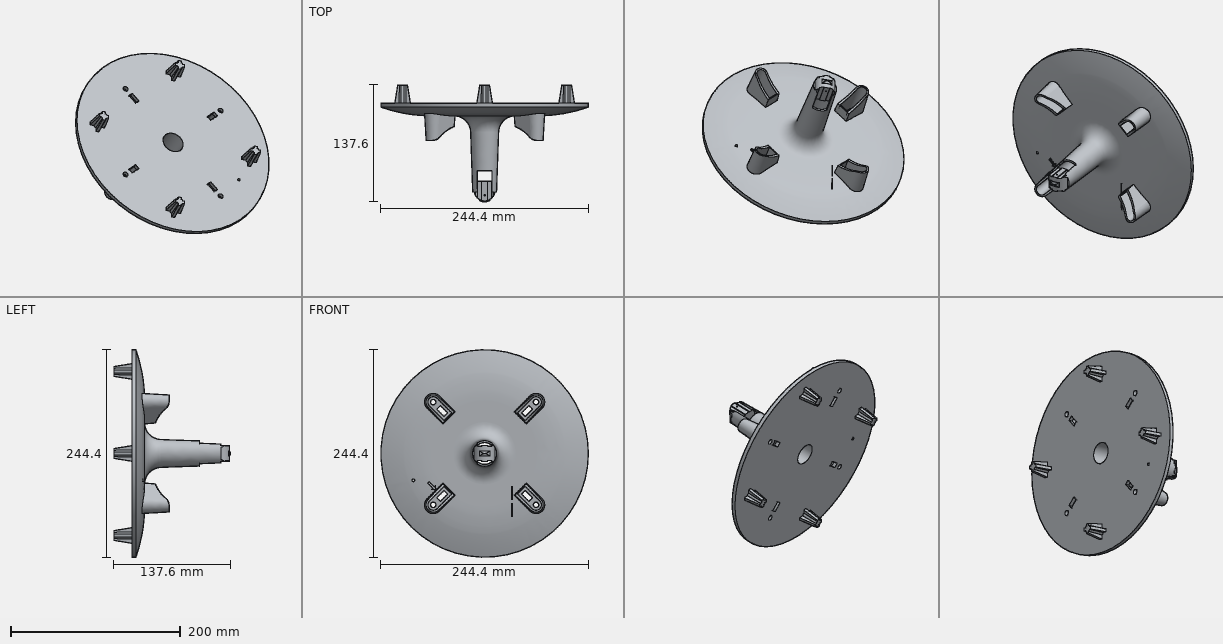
import cadquery as cq
import math


plate_radius = 122.2
rim_thickness = 5.0
face_radius = 62.3
plate_thickness = 15.2

flare_radius = 36.7
flare_end_y = -34.0
spindle_base_radius = 16.5
shoulder_y = -104.8
shoulder_radius = 14.2
nose_half_width = 12.2
nose_y = -115.0
tip_y = -116.3
ridge_width = 5.9
ridge_length = 12.2
bore_radius = 12.7

window_y = -79.7
tongue_y = -92.0
tongue_half_thickness = 8.5
rib_half_thickness = 9.5
rib_width = 7.0
window_inner_half_width = 8.3
window_outer_half_width = 9.3
window_outer_z = 16.0
dimple_y = -108.5
dimple_diameter = 1.2

bracket_count = 4
bracket_first_angle = 45.0
bracket_hole_radius = 85.5
bracket_base_radius = 10.8
bracket_base_start = 58.7
bracket_draft = 3.3
bracket_top_y = -44.2
bracket_low_y = -27.4
slope_start_direction = (1, -0.3)
slope_mid_x = 79.5
slope_mid_y = -37.0
slope_end_x = 94.3
bracket_reach = 110.0
pocket_floor_y = -rim_thickness
pocket_radius = 6.4
pocket_start = 61.0
screw_hole_diameter = 6.0
latch_hole_length = 12.0
latch_hole_width = 5.9
latch_hole_x = 70.6

peg_count = 4
peg_circle_radius = 96.5
peg_height = 21.3
peg_core_base_radius = 4.6
peg_core_top_radius = 4.2
fin_base_half_width = 9.3
fin_top_half_width = 5.9
fin_thickness = 3.7

pin_hole_x = -83.8
pin_hole_z = -31.5
pin_hole_diameter = 3.0
groove_x = 32.3
groove_width = 0.7
groove_length = 15.5
groove_centers_z = (-46.5, -66.7)
engraving_floor_y = -13.5
arrow_tip_x = -57.7
arrow_tip_z = -42.5
arrow_length = 12.0
arrow_head_length = 3.5
arrow_shaft_width = 2.5
arrow_angle = -45.0


def around_y(shape, count, first_angle):
    """Copies of a shape spaced evenly around the Y axis, joined."""
    joined = cq.Workplane("XY")
    for index in range(count):
        angle = first_angle + index * 360.0 / count
        joined = joined.add(shape.rotate((0, 0, 0), (0, 1, 0), angle).val())
    return joined.combine()


def facing_front(y):
    """Workplane at height y whose extrusions run toward -Y."""
    return cq.Workplane("XZ", origin=(0, y, 0))


def quarter_arc_point(start, end, corner):
    """Middle point of an elliptical quarter between start and end, bulging toward corner."""
    blend = 1 - math.sqrt(0.5)
    center = (start[0] + end[0] - corner[0], start[1] + end[1] - corner[1])
    return (corner[0] + blend * (center[0] - corner[0]), corner[1] + blend * (center[1] - corner[1]))


def plate_and_spindle():
    """Domed plate, flare and tapered spindle turned around Y."""
    dome_rise = plate_thickness - rim_thickness
    dome_width = plate_radius - face_radius
    dome_radius = (dome_width**2 + dome_rise**2) / (2 * dome_rise)
    dome_mid_y = -plate_thickness + dome_radius - math.sqrt(dome_radius**2 - (dome_width / 2) ** 2)
    flare_start = (flare_radius, -plate_thickness)
    flare_end = (spindle_base_radius, flare_end_y)
    flare_corner = (spindle_base_radius, -plate_thickness)
    profile = (
        cq.Workplane("XY")
        .lineTo(plate_radius, 0)
        .lineTo(plate_radius, -rim_thickness)
        .threePointArc((face_radius + dome_width / 2, dome_mid_y), (face_radius, -plate_thickness))
        .lineTo(*flare_start)
        .threePointArc(quarter_arc_point(flare_start, flare_end, flare_corner), flare_end)
        .lineTo(shoulder_radius, shoulder_y)
        .lineTo(0, shoulder_y)
        .close()
    )
    return profile.revolve(360, (0, 0, 0), (0, 1, 0))


def window(side):
    """Opening in the +Z or -Z side of the spindle, down to the tongue, with flared side walls."""
    outline = [
        (-window_inner_half_width, side * tongue_half_thickness),
        (window_inner_half_width, side * tongue_half_thickness),
        (window_outer_half_width, side * window_outer_z),
        (-window_outer_half_width, side * window_outer_z),
    ]
    return facing_front(window_y).polyline(outline).close().extrude(window_y - tip_y)


def rounded_end(end_y):
    """Bar along Z, from the tongue start to an end rounded toward -Y."""
    return (
        cq.Workplane("XY")
        .moveTo(-nose_half_width, tongue_y)
        .lineTo(-nose_half_width, shoulder_y)
        .threePointArc((0, end_y), (nose_half_width, shoulder_y))
        .lineTo(nose_half_width, tongue_y)
        .close()
        .extrude(rib_half_thickness, both=True)
    )


def nose():
    """Rounded end of the spindle with a low ridge across its middle."""
    envelope = facing_front(tongue_y).circle(shoulder_radius).extrude(tongue_y - tip_y)
    ridge = (
        cq.Workplane("YZ")
        .moveTo(shoulder_y, -ridge_width / 2)
        .lineTo(nose_y, -ridge_width / 2)
        .lineTo(tip_y, 0)
        .lineTo(nose_y, ridge_width / 2)
        .lineTo(shoulder_y, ridge_width / 2)
        .close()
        .extrude(ridge_length / 2, both=True)
        .intersect(rounded_end(tip_y))
    )
    return rounded_end(nose_y).intersect(envelope).union(ridge)


def tongue_rib():
    """Raised middle rib on both faces of the tongue, following the rounded end."""
    rib = facing_front(tongue_y).rect(rib_width, 2 * rib_half_thickness).extrude(tongue_y - nose_y)
    return rib.intersect(rounded_end(nose_y))


def dimple():
    """Small hole square through the rib and tongue."""
    return (
        cq.Workplane("XY")
        .center(0, dimple_y)
        .circle(dimple_diameter / 2)
        .extrude(rib_half_thickness, both=True)
    )


def bracket_outline(y, radius, start):
    """Outline with a square inner end and a round outer end."""
    return (
        facing_front(y)
        .moveTo(start, -radius)
        .lineTo(bracket_hole_radius, -radius)
        .threePointArc((bracket_hole_radius + radius, 0), (bracket_hole_radius, radius))
        .lineTo(start, radius)
        .close()
    )


def bracket():
    """Drafted sleeve whose top climbs in an S-curve from the inner end to the round end."""
    height = pocket_floor_y - bracket_top_y
    sleeve = bracket_outline(pocket_floor_y, bracket_base_radius, bracket_base_start).extrude(
        height, taper=bracket_draft
    )
    side_shape = (
        cq.Workplane("XY")
        .moveTo(0, pocket_floor_y)
        .lineTo(0, bracket_low_y)
        .lineTo(bracket_base_start, bracket_low_y)
        .spline(
            [(slope_mid_x, slope_mid_y), (slope_end_x, bracket_top_y)],
            tangents=[slope_start_direction, (1, 0)],
            includeCurrent=True,
        )
        .lineTo(bracket_reach, bracket_top_y)
        .lineTo(bracket_reach, pocket_floor_y)
        .close()
        .extrude(2 * bracket_base_radius, both=True)
    )
    return sleeve.intersect(side_shape)


def bracket_opening():
    """Pocket of one bracket with a screw hole and a latch hole through its floor."""
    height = pocket_floor_y - bracket_top_y
    pocket = bracket_outline(pocket_floor_y, pocket_radius, pocket_start).extrude(height)
    screw_hole = (
        facing_front(0)
        .center(bracket_hole_radius, 0)
        .circle(screw_hole_diameter / 2)
        .extrude(plate_thickness)
    )
    latch_hole = (
        facing_front(0)
        .center(latch_hole_x, 0)
        .rect(latch_hole_length, latch_hole_width)
        .extrude(plate_thickness)
    )
    return pocket.union(screw_hole).union(latch_hole)


def peg():
    """Tapered round core with a cross of four tapered fins, on the back of the plate."""
    core = (
        cq.Workplane("XY")
        .lineTo(peg_core_base_radius, 0)
        .lineTo(peg_core_top_radius, peg_height)
        .lineTo(0, peg_height)
        .close()
        .revolve(360, (0, 0, 0), (0, 1, 0))
    )
    fin = (
        cq.Workplane("XY")
        .moveTo(-fin_base_half_width, 0)
        .lineTo(fin_base_half_width, 0)
        .lineTo(fin_top_half_width, peg_height)
        .lineTo(-fin_top_half_width, peg_height)
        .close()
        .extrude(fin_thickness / 2, both=True)
    )
    crossing_fin = fin.rotate((0, 0, 0), (0, 1, 0), 90)
    return core.union(fin).union(crossing_fin).translate((peg_circle_radius, 0, 0))


def engraved_arrow():
    """Arrow with a right-angled head, cut into the domed side."""
    shaft = arrow_shaft_width / 2
    outline = [
        (0, 0),
        (-arrow_head_length, arrow_head_length),
        (-arrow_head_length, shaft),
        (-arrow_length, shaft),
        (-arrow_length, -shaft),
        (-arrow_head_length, -shaft),
        (-arrow_head_length, -arrow_head_length),
    ]
    return (
        facing_front(engraving_floor_y)
        .center(arrow_tip_x, arrow_tip_z)
        .transformed(rotate=(0, 0, arrow_angle))
        .polyline(outline)
        .close()
        .extrude(plate_thickness + engraving_floor_y)
    )


def grooves():
    """Two narrow grooves in line along Z, cut into the domed side."""
    centers = [(groove_x, z) for z in groove_centers_z]
    return (
        facing_front(engraving_floor_y)
        .pushPoints(centers)
        .rect(groove_width, groove_length)
        .extrude(plate_thickness + engraving_floor_y)
    )


def pin_hole():
    """Small round hole through the plate."""
    return (
        facing_front(0)
        .center(pin_hole_x, pin_hole_z)
        .circle(pin_hole_diameter / 2)
        .extrude(plate_thickness)
    )


body = plate_and_spindle()
body = body.union(around_y(bracket(), bracket_count, bracket_first_angle))
body = body.cut(around_y(bracket_opening(), bracket_count, bracket_first_angle))
body = body.union(around_y(peg(), peg_count, 0))
body = body.cut(pin_hole()).cut(engraved_arrow()).cut(grooves())

body = body.cut(facing_front(0).circle(bore_radius).extrude(-tongue_y))
body = body.union(nose())
for side in (1, -1):
    body = body.cut(window(side))
body = body.union(tongue_rib()).cut(dimple())

result = body